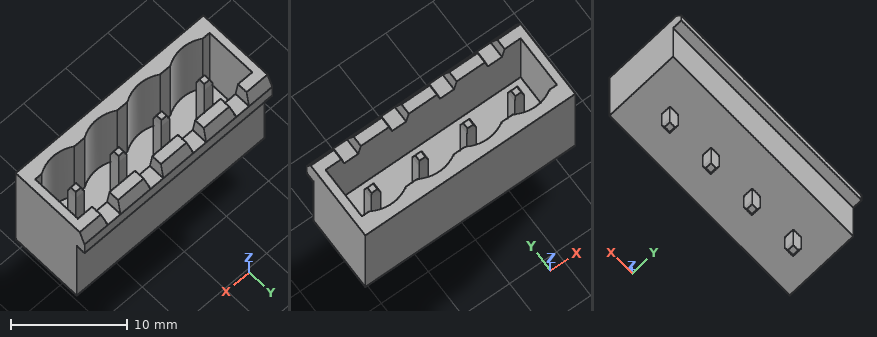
import cadquery as cq

LENGTH = 22.32
BODY_DEPTH = 7.6
OVERALL_DEPTH = 8.6
HEIGHT = 12.0

LIP_HEIGHT = 3.0
LIP_BEVEL_DEPTH = 0.6
LIP_BEVEL_HEIGHT = 1.4

END_WALL = 0.8
FRONT_WALL = 1.6
CAVITY_BACK = 6.92
FLOOR_THICKNESS = 3.0
CAVITY_DEPTH = HEIGHT - FLOOR_THICKNESS

PIN_COUNT = 4
PITCH = 5.1
PIN_Y = 3.82
FIRST_PIN_X = (LENGTH - (PIN_COUNT - 1) * PITCH) / 2
PIN_POSITIONS = [FIRST_PIN_X + i * PITCH for i in range(PIN_COUNT)]

PIN_WIDTH = 1.0
PIN_TIP_WIDTH = 0.62
PIN_TAPER_HEIGHT = 0.6
PIN_TOP = 10.0
PIN_BOTTOM = -4.0

SCALLOP_WIDTH = 3.88
SCALLOP_DEPTH = 0.55

NOTCH_TOP_WIDTH = 2.05
NOTCH_FLOOR_WIDTH = 1.5
NOTCH_DEPTH = LIP_BEVEL_HEIGHT


def make_housing():
    """Side profile with the bevelled lip, extruded along X."""
    return (
        cq.Workplane("YZ")
        .moveTo(0, 0)
        .lineTo(BODY_DEPTH, 0)
        .lineTo(BODY_DEPTH, HEIGHT - LIP_HEIGHT)
        .lineTo(OVERALL_DEPTH, HEIGHT - LIP_HEIGHT)
        .lineTo(OVERALL_DEPTH, HEIGHT - LIP_BEVEL_HEIGHT)
        .lineTo(OVERALL_DEPTH - LIP_BEVEL_DEPTH, HEIGHT)
        .lineTo(0, HEIGHT)
        .close()
        .extrude(LENGTH)
    )


def make_cavity():
    """Pocket outline with a row of arcs along its front edge."""
    outline = cq.Workplane("XY", origin=(0, 0, FLOOR_THICKNESS)).moveTo(END_WALL, FRONT_WALL)
    for x in PIN_POSITIONS:
        outline = outline.lineTo(x - SCALLOP_WIDTH / 2, FRONT_WALL).threePointArc(
            (x, FRONT_WALL - SCALLOP_DEPTH), (x + SCALLOP_WIDTH / 2, FRONT_WALL)
        )
    return (
        outline.lineTo(LENGTH - END_WALL, FRONT_WALL)
        .lineTo(LENGTH - END_WALL, CAVITY_BACK)
        .lineTo(END_WALL, CAVITY_BACK)
        .close()
        .extrude(CAVITY_DEPTH)
    )


def make_notch(x):
    """Trapezoidal cutter from the cavity out through the back of the lip."""
    return (
        cq.Workplane("XZ", origin=(x, CAVITY_BACK, HEIGHT))
        .moveTo(-NOTCH_TOP_WIDTH / 2, 0)
        .lineTo(-NOTCH_FLOOR_WIDTH / 2, -NOTCH_DEPTH)
        .lineTo(NOTCH_FLOOR_WIDTH / 2, -NOTCH_DEPTH)
        .lineTo(NOTCH_TOP_WIDTH / 2, 0)
        .close()
        .extrude(CAVITY_BACK - OVERALL_DEPTH)
    )


def make_taper(x, shoulder_z, tip_z):
    """Square frustum narrowing from the pin's shoulder to its tip."""
    return (
        cq.Workplane("XY", origin=(x, PIN_Y, shoulder_z))
        .rect(PIN_WIDTH, PIN_WIDTH)
        .workplane(offset=tip_z - shoulder_z)
        .rect(PIN_TIP_WIDTH, PIN_TIP_WIDTH)
        .loft(ruled=True)
    )


def make_pin(x):
    """Square pin with a tapered end at the top and the bottom."""
    lower_shoulder = PIN_BOTTOM + PIN_TAPER_HEIGHT
    upper_shoulder = PIN_TOP - PIN_TAPER_HEIGHT
    shank = (
        cq.Workplane("XY", origin=(x, PIN_Y, lower_shoulder))
        .rect(PIN_WIDTH, PIN_WIDTH)
        .extrude(upper_shoulder - lower_shoulder)
    )
    lower_taper = make_taper(x, lower_shoulder, PIN_BOTTOM)
    upper_taper = make_taper(x, upper_shoulder, PIN_TOP)
    return shank.union(lower_taper).union(upper_taper)


result = make_housing().cut(make_cavity())
for pin_x in PIN_POSITIONS:
    result = result.cut(make_notch(pin_x)).union(make_pin(pin_x))